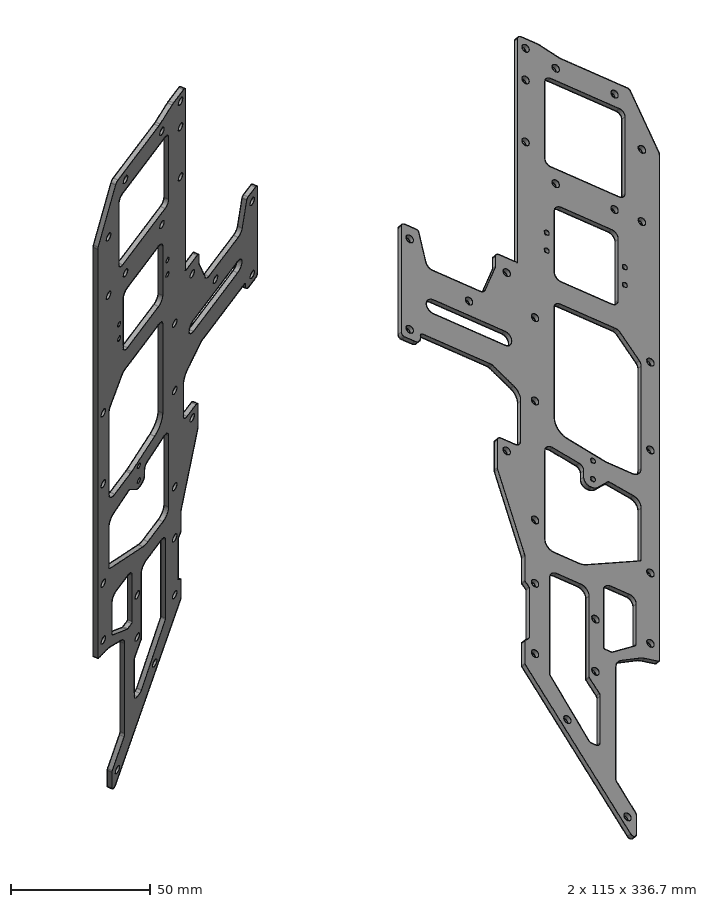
import cadquery as cq
import math

THICKNESS = 2.0
WIDTH = 115.0
HEIGHT = 336.7

TOP_EDGE_Z = 334.7
UPPER_EDGE_Y = 63.2
LEG_OUTER_Y = 60.0
LEG_RELIEF_Y = 58.0
LEG_INNER_Y = 19.4
TIP_Y = 10.2
TIP_CORNER_Z = -2.58
ARM_TOP_Z = 214.4
ARM_BOTTOM_Z = 183.8
UPPER_SHOULDER_Y = 73.0
UPPER_SHOULDER_Z = 234.6
LOWER_SHOULDER_Y = 72.2
LOWER_SHOULDER_Z = 152.6
WAIST_Y = 61.8
RAIL_Y = 8.2
WINDOW_Y = 46.8
WIDE_WINDOW_Y = 51.0

SCREW_DIAMETER = 3.2
SMALL_DIAMETER = 2.1
RAIL_HOLE_Y = 4.0
UPPER_EDGE_HOLE_Y = 59.6
INNER_HOLE_Y = 55.4
ARM_HOLE_Y = 111.2

SLOT_LENGTH = 38.0
SLOT_WIDTH = 6.2
SLOT_CENTRE = (84.8, 198.2)

OUTLINE = [
    (UPPER_EDGE_Y, HEIGHT, 1.5),
    (54.0, HEIGHT, 5),
    (44.4, TOP_EDGE_Z, 5),
    (13.4, TOP_EDGE_Z, 2),
    (0, 311.6, 2),
    (0, 83.6, 0.5),
    (7.8, 81.8, 10),
    (LEG_INNER_Y, 75.2, 5),
    (LEG_INNER_Y, 21.6, 2),
    (TIP_Y, 10.6, 1),
    (TIP_Y, TIP_CORNER_Z, 1.5),
    (LEG_OUTER_Y, 56.0, 0.5),
    (LEG_OUTER_Y, 66.6, 0.5),
    (LEG_RELIEF_Y, 68.4, 0.5),
    (LEG_RELIEF_Y, 91.2, 0.5),
    (LEG_OUTER_Y, 93.2, 0.5),
    (LEG_OUTER_Y, 104.8, 2),
    (LOWER_SHOULDER_Y, 138.2, 2),
    (LOWER_SHOULDER_Y, LOWER_SHOULDER_Z, 1.5),
    (WAIST_Y, LOWER_SHOULDER_Z, 2.5),
    (WAIST_Y, 176.8, 6),
    (74.8, ARM_BOTTOM_Z, 2),
    (106.4, ARM_BOTTOM_Z, 1),
    (106.4, 179.0, 2.5),
    (WIDTH, 179.0, 1.5),
    (WIDTH, 229.6, 1.5),
    (107.4, 229.6, 1),
    (103.4, ARM_TOP_Z, 3),
    (78.2, ARM_TOP_Z, 2.5),
    (UPPER_SHOULDER_Y, 228.4, 2),
    (UPPER_SHOULDER_Y, UPPER_SHOULDER_Z, 1.5),
    (UPPER_EDGE_Y, UPPER_SHOULDER_Z, 0),
]


def rectangle_corners(y_min, y_max, z_min, z_max, radius):
    return [
        (y_max, z_max, radius),
        (y_min, z_max, radius),
        (y_min, z_min, radius),
        (y_max, z_min, radius),
    ]


WINDOWS = [
    rectangle_corners(15.4, WIDE_WINDOW_Y, 284.2, 323.8, 2.5),
    rectangle_corners(18.4, WINDOW_Y, 234.6, 268.0, 3),
    [
        (WINDOW_Y, 224.4, 2.5),
        (18.4, 224.4, 3),
        (RAIL_Y, 213.8, 3),
        (RAIL_Y, 162.6, 4),
        (24.0, 162.6, 5),
        (WINDOW_Y, 166.4, 7),
    ],
    [
        (WIDE_WINDOW_Y, 159.0, 3),
        (33.8, 156.4, 2.5),
        (33.8, 148.4, 3),
        (28.6, 148.4, 4),
        (22.8, 154.3, 1),
        (RAIL_Y, 152.4, 4),
        (RAIL_Y, 125.2, 1),
        (34.2, 111.8, 8),
        (WIDE_WINDOW_Y, 111.8, 4),
    ],
    [
        (48.8, 102.8, 3),
        (31.4, 102.8, 3.7),
        (31.4, 62.6, 0.5),
        (26.4, 57.0, 1.5),
        (26.4, 33.6, 2),
        (31.0, 33.6, 1.5),
        (48.8, 56.0, 0.5),
    ],
    [
        (24.8, 107.8, 3),
        (10.4, 107.8, 3),
        (10.4, 86.2, 1.5),
        (21.2, 78.4, 1),
        (24.8, 78.4, 0.5),
    ],
]

SCREW_HOLES = (
    [(RAIL_HOLE_Y, z) for z in (216.2, 176.8, 121.6, 90.0)]
    + [(UPPER_EDGE_HOLE_Y, z) for z in (332.4, 318.2, 290.4)]
    + [(INNER_HOLE_Y, z) for z in (213.4, 176.0, 122.6, 94.2, 62.6)]
    + [(ARM_HOLE_Y, z) for z in (224.0, 183.4)]
    + [(y, z) for y in (46.2, 20.0) for z in (329.4, 277.6)]
    + [(7.8, z) for z in (310.0, 277.6)]
    + [(28.5, z) for z in (90.0, 66.6)]
    + [(68.0, z) for z in (228.0, 148.0)]
    + [(84.8, 207.8), (41.0, 39.4), (14.2, 7.6)]
)

SMALL_HOLES = (
    [(y, z) for y in (50.2, 15.4) for z in (253.8, 245.8)]
    + [(29.6, z) for z in (160.6, 152.4)]
)


def corner_arc(before, corner, after):
    """Start, middle and end of the tangent arc that rounds a corner."""
    point = cq.Vector(corner[0], corner[1])
    radius = corner[2]
    toward_before = (cq.Vector(before[0], before[1]) - point).normalized()
    toward_after = (cq.Vector(after[0], after[1]) - point).normalized()
    half_angle = toward_before.getAngle(toward_after) / 2
    setback = radius / math.tan(half_angle)
    bisector = (toward_before + toward_after).normalized()
    middle = point + bisector * (radius / math.sin(half_angle) - radius)
    return point + toward_before * setback, middle, point + toward_after * setback


def rounded_prism(corners):
    """Plate-thick prism over a polygon with individually rounded corners."""
    first, last = corners[0], corners[-1]
    sketch = cq.Workplane("YZ").moveTo((first[0] + last[0]) / 2, (first[1] + last[1]) / 2)
    for index, corner in enumerate(corners):
        if corner[2] == 0:
            sketch = sketch.lineTo(corner[0], corner[1])
            continue
        after = corners[(index + 1) % len(corners)]
        start, middle, end = corner_arc(corners[index - 1], corner, after)
        sketch = sketch.lineTo(start.x, start.y)
        sketch = sketch.threePointArc((middle.x, middle.y), (end.x, end.y))
    return sketch.close().extrude(THICKNESS)


def round_holes(centres, diameter):
    return cq.Workplane("YZ").pushPoints(centres).circle(diameter / 2).extrude(THICKNESS)


def arm_slot():
    return cq.Workplane("YZ").center(*SLOT_CENTRE).slot2D(SLOT_LENGTH, SLOT_WIDTH).extrude(THICKNESS)


plate = rounded_prism(OUTLINE)
for window in WINDOWS:
    plate = plate.cut(rounded_prism(window))
plate = plate.cut(arm_slot())
plate = plate.cut(round_holes(SCREW_HOLES, SCREW_DIAMETER))
plate = plate.cut(round_holes(SMALL_HOLES, SMALL_DIAMETER))

result = plate